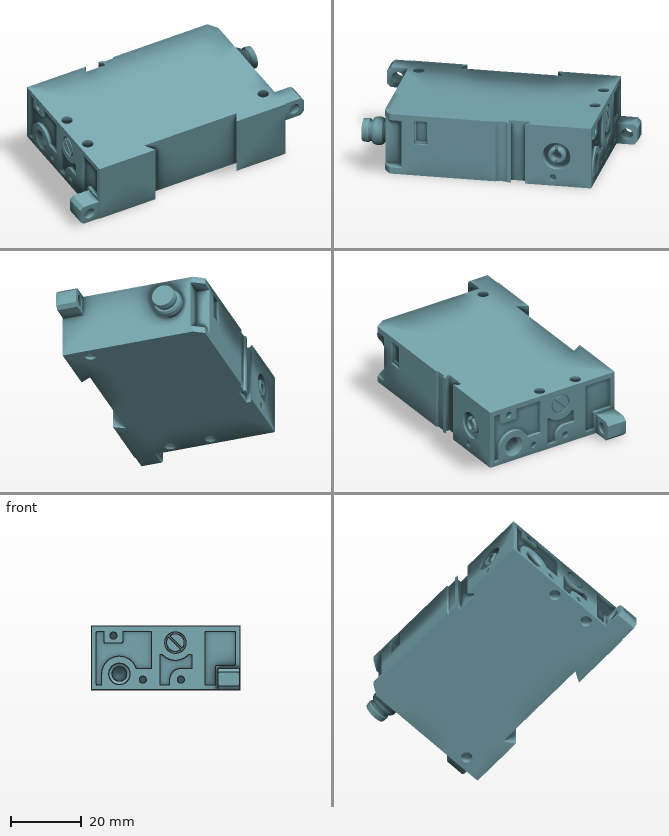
import cadquery as cq
import math

BODY_X = 42.0
BODY_Y = 60.0
BODY_Z = 18.0
REAR_CHAMFER_X = 3.0
REAR_CHAMFER_Y = 2.0

RAIL_DEPTH = 3.15
RAIL_MOUTH_Y0 = 18.05
RAIL_MOUTH_Y1 = 44.1
RAIL_UNDERCUT = 1.9

CLIP_DEPTH = 2.05
CLIP_Y0 = 18.0
CLIP_Y1 = 24.0
CLIP_LIP = 0.7
CLIP_LIP_FLAT = 0.3
GROOVE_DEPTH = 0.5
GROOVE_Y0 = 24.2
GROOVE_Y1 = 27.6
GROOVE_TAPER = 0.3

MOUNT_HOLE_D = 3.2
MOUNT_HOLES = [(18.35, 2.65), (30.4, 2.65), (34.8, 56.75)]

LUG_SIZE = 6.0
LUG_X = 35.75
LUG_CHAMFER = 1.0
LUG_HOLE_D = 3.4

CONNECTOR_X = 9.3
COLLAR_R = 3.0
FLANGE_D = 8.0
FLANGE_R = FLANGE_D / 2
FLANGE_EDGE_R = 3.6
PLUG_R = 3.3
PLUG_RIM_R = 3.45
PLUG_TIP_R = 3.2
PLUG_TIP_LENGTH = 0.45
CONNECTOR_LENGTH = 7.4
FLANGE_START = 1.4
FLANGE_END = 4.4
FLANGE_BEVEL = 0.7
RIM_START = 5.5
RIM_BEVEL = 0.45

RELIEF_DEPTH = 1.0
RELIEF_RADIUS = 0.4
RELIEF_Z0 = 1.3
RELIEF_Z1 = 16.45
RELIEF_STEP_Z = 6.0
BOSS_R = 5.0

PORT_X = 7.9
PORT_Z = 4.5
PORT_MOUTH_D = 6.0
PORT_BORE_D = 4.1
PORT_BORE_DEPTH = 3.7
DRILL_POINT_ANGLE = 118

SCREW_X = 23.7
SCREW_Z = 13.3
SCREW_BORE_D = 6.0
SCREW_HEAD_D = 5.0
SCREW_GROOVE_DEPTH = 0.4
SCREW_SLOT_WIDTH = 0.5
SCREW_SLOT_ANGLE = -45

PIN_HOLE_D = 2.0
PIN_HOLE_DEPTH = 4.0
LOW_PIN_X0 = 14.5
LOW_PIN_X1 = 25.25
LOW_PIN_Z = 2.85
HIGH_PIN_X = 6.25
HIGH_PIN_Z = 15.3

CORNER_POCKET_Y = 54.5
CORNER_POCKET_WALL = 1.8
CORNER_POCKET_DEPTH = 3.75

WINDOW_Y0 = 47.0
WINDOW_Y1 = 51.0
WINDOW_Z0 = 9.4
WINDOW_Z1 = 16.5
WINDOW_BORDER = 0.45
WINDOW_STEP = 0.8
WINDOW_RADIUS = 0.5

SOCKET_Y = 10.0
SOCKET_D = 8.0
SOCKET_DEPTH = 4.0
STUD_D = 5.0
STUD_TIP_D = 4.0
STUD_BORE_D = 3.0
STUD_SLOT_WIDTH = 0.95
STUD_SLOT_DEPTH = 1.5
SIDE_PIN_Y = 11.0
SIDE_PIN_Z = 2.4


def make_block():
    """Block outline with dovetail slot, clip slot and label groove, plus through holes."""
    lip_root = CLIP_LIP + CLIP_LIP_FLAT
    rail_x = BODY_X - RAIL_DEPTH
    outline = [
        (0, 0),
        (BODY_X, 0),
        (BODY_X, RAIL_MOUTH_Y0),
        (rail_x, RAIL_MOUTH_Y0 - RAIL_UNDERCUT),
        (rail_x, RAIL_MOUTH_Y1 + RAIL_UNDERCUT),
        (BODY_X, RAIL_MOUTH_Y1),
        (BODY_X, BODY_Y),
        (REAR_CHAMFER_X, BODY_Y),
        (0, BODY_Y - REAR_CHAMFER_Y),
        (0, GROOVE_Y1),
        (GROOVE_DEPTH, GROOVE_Y1 - GROOVE_TAPER),
        (GROOVE_DEPTH, GROOVE_Y0 + GROOVE_TAPER),
        (0, GROOVE_Y0),
        (0, CLIP_Y1 - lip_root),
        (CLIP_LIP, CLIP_Y1 - CLIP_LIP_FLAT),
        (CLIP_LIP, CLIP_Y1),
        (CLIP_DEPTH, CLIP_Y1),
        (CLIP_DEPTH, CLIP_Y0),
        (CLIP_LIP, CLIP_Y0),
        (CLIP_LIP, CLIP_Y0 + CLIP_LIP_FLAT),
        (0, CLIP_Y0 + lip_root),
    ]
    block = cq.Workplane("XY").polyline(outline).close().extrude(BODY_Z)
    holes = cq.Workplane("XY").pushPoints(MOUNT_HOLES).circle(MOUNT_HOLE_D / 2).extrude(BODY_Z)
    return block.cut(holes)


def make_lug(y0, z0, end_face):
    """Square lug with a cross hole and bevels on the two long edges of its free end."""
    lug = cq.Workplane("XY").box(LUG_SIZE, LUG_SIZE, LUG_SIZE, centered=False)
    lug = lug.faces(end_face).edges("|X").chamfer(LUG_CHAMFER)
    hole = (
        cq.Workplane("YZ").center(LUG_SIZE / 2, LUG_SIZE / 2).circle(LUG_HOLE_D / 2).extrude(LUG_SIZE)
    )
    return lug.cut(hole).translate((LUG_X, y0, z0))


def make_connector():
    """Turned connector standing on the rear face; its profile is (radius, distance from the face)."""
    profile = [
        (0, 0),
        (COLLAR_R, 0),
        (COLLAR_R, FLANGE_START),
        (FLANGE_EDGE_R, FLANGE_START),
        (FLANGE_R, FLANGE_START + FLANGE_BEVEL),
        (FLANGE_R, FLANGE_END - FLANGE_BEVEL),
        (FLANGE_EDGE_R, FLANGE_END),
        (COLLAR_R, FLANGE_END),
        (COLLAR_R, RIM_START),
        (PLUG_R, RIM_START),
        (PLUG_RIM_R, RIM_START + RIM_BEVEL),
        (PLUG_R, CONNECTOR_LENGTH - PLUG_TIP_LENGTH),
        (PLUG_TIP_R, CONNECTOR_LENGTH),
        (0, CONNECTOR_LENGTH),
    ]
    connector = cq.Workplane("XY").polyline(profile).close().revolve(360, (0, 0, 0), (0, 1, 0))
    return connector.translate((CONNECTOR_X, BODY_Y, BODY_Z / 2))


def round_corners(pocket, corners):
    """Round the depth-wise edges of a front pocket at the given (x, z) corners."""
    for x, z in corners:
        edge = cq.selectors.NearestToPointSelector((x, RELIEF_DEPTH / 2, z))
        pocket = pocket.edges("|Y").edges(edge).fillet(RELIEF_RADIUS)
    return pocket


def front_disc(x, z, diameter, depth):
    """Cylinder running inward from the front face."""
    return cq.Workplane("XZ").center(x, z).circle(diameter / 2).extrude(-depth)


def make_left_relief():
    """Relief around the port boss, notched at the top for the pin hole."""
    x0, x1 = 1.4, 17.0
    notch_x0, notch_x1 = 3.5, 8.9
    notch_z = 13.2
    boss_left = PORT_X - BOSS_R
    boss_right = PORT_X + math.sqrt(BOSS_R**2 - (RELIEF_STEP_Z - PORT_Z) ** 2)
    pocket = (
        cq.Workplane("XZ")
        .moveTo(x0, RELIEF_Z0)
        .lineTo(x0, RELIEF_Z1)
        .lineTo(notch_x0, RELIEF_Z1)
        .lineTo(notch_x0, notch_z)
        .lineTo(notch_x1, notch_z)
        .lineTo(notch_x1, RELIEF_Z1)
        .lineTo(x1, RELIEF_Z1)
        .lineTo(x1, RELIEF_STEP_Z)
        .lineTo(boss_right, RELIEF_STEP_Z)
        .threePointArc((PORT_X, PORT_Z + BOSS_R), (boss_left, PORT_Z))
        .lineTo(boss_left, RELIEF_Z0)
        .close()
        .extrude(-RELIEF_DEPTH)
    )
    rounded = [
        (x0, RELIEF_Z0),
        (boss_left, RELIEF_Z0),
        (x0, RELIEF_Z1),
        (notch_x0, notch_z),
        (notch_x1, notch_z),
        (x1, RELIEF_Z1),
    ]
    return round_corners(pocket, rounded)


def make_middle_relief():
    """Relief below the screw, curved around the screw boss and the lower pin hole."""
    x0, x1 = 19.3, 28.4
    top_z = 9.9
    pin_boss_r = RELIEF_STEP_Z - LOW_PIN_Z
    pin_left = LOW_PIN_X1 - pin_boss_r
    diagonal = pin_boss_r * math.sqrt(0.5)
    arc_half = math.sqrt(BOSS_R**2 - (SCREW_Z - top_z) ** 2)
    pocket = (
        cq.Workplane("XZ")
        .moveTo(x0, RELIEF_Z0)
        .lineTo(x0, top_z)
        .lineTo(SCREW_X - arc_half, top_z)
        .threePointArc((SCREW_X, SCREW_Z - BOSS_R), (SCREW_X + arc_half, top_z))
        .lineTo(x1, top_z)
        .lineTo(x1, RELIEF_STEP_Z)
        .lineTo(LOW_PIN_X1, RELIEF_STEP_Z)
        .threePointArc((LOW_PIN_X1 - diagonal, LOW_PIN_Z + diagonal), (pin_left, LOW_PIN_Z))
        .lineTo(pin_left, RELIEF_Z0)
        .close()
        .extrude(-RELIEF_DEPTH)
    )
    return round_corners(pocket, [(x0, RELIEF_Z0), (pin_left, RELIEF_Z0), (x1, top_z)])


def make_right_relief():
    """L-shaped relief that clears the front lug."""
    x0, x1 = 32.1, 40.7
    step_x, step_z = 35.1, 6.9
    outline = [
        (x0, RELIEF_Z0),
        (x0, RELIEF_Z1),
        (x1, RELIEF_Z1),
        (x1, step_z),
        (step_x, step_z),
        (step_x, RELIEF_Z0),
    ]
    pocket = cq.Workplane("XZ").polyline(outline).close().extrude(-RELIEF_DEPTH)
    return round_corners(pocket, outline)


def make_port():
    """Countersunk blind bore with a drill point; its profile is (radius, depth)."""
    mouth_r = PORT_MOUTH_D / 2
    bore_r = PORT_BORE_D / 2
    point_length = bore_r / math.tan(math.radians(DRILL_POINT_ANGLE / 2))
    profile = [
        (0, 0),
        (mouth_r, 0),
        (bore_r, mouth_r - bore_r),
        (bore_r, PORT_BORE_DEPTH),
        (0, PORT_BORE_DEPTH + point_length),
    ]
    port = cq.Workplane("XY").polyline(profile).close().revolve(360, (0, 0, 0), (0, 1, 0))
    return port.translate((PORT_X, 0, PORT_Z))


def make_screw_cut():
    """Ring groove around a flush screw head, with a diagonal driver slot."""
    ring = front_disc(SCREW_X, SCREW_Z, SCREW_BORE_D, SCREW_GROOVE_DEPTH)
    ring = ring.cut(front_disc(SCREW_X, SCREW_Z, SCREW_HEAD_D, SCREW_GROOVE_DEPTH))
    slot = (
        cq.Workplane("XZ")
        .center(SCREW_X, SCREW_Z)
        .transformed(rotate=(0, 0, SCREW_SLOT_ANGLE))
        .rect(SCREW_HEAD_D, SCREW_SLOT_WIDTH)
        .extrude(-SCREW_GROOVE_DEPTH)
    )
    return ring.union(slot)


def make_corner_pocket():
    """Pocket across the chamfered rear corner, reaching past the chamfer."""
    return cq.Workplane("XY").box(
        CORNER_POCKET_DEPTH,
        BODY_Y - CORNER_POCKET_Y,
        BODY_Z - 2 * CORNER_POCKET_WALL,
        centered=False,
    ).translate((0, CORNER_POCKET_Y, CORNER_POCKET_WALL))


def make_window():
    """Two-step rectangular window; the outer step keeps square lower corners."""
    width = WINDOW_Y1 - WINDOW_Y0
    height = WINDOW_Z1 - WINDOW_Z0
    centre = cq.Workplane("YZ").center((WINDOW_Y0 + WINDOW_Y1) / 2, (WINDOW_Z0 + WINDOW_Z1) / 2)
    outer = centre.rect(width, height).extrude(WINDOW_STEP)
    outer = outer.faces(">Z").edges("|X").fillet(WINDOW_RADIUS)
    inner = centre.rect(width - 2 * WINDOW_BORDER, height - 2 * WINDOW_BORDER).extrude(2 * WINDOW_STEP)
    inner = inner.edges("|X").fillet(WINDOW_RADIUS)
    return outer.union(inner)


def make_socket():
    """Round recess that leaves a bevelled, bored and slotted stud at its centre."""
    centre = cq.Workplane("YZ").center(SOCKET_Y, BODY_Z / 2)
    recess = centre.circle(SOCKET_D / 2).extrude(SOCKET_DEPTH)
    stud = centre.circle(STUD_D / 2).extrude(SOCKET_DEPTH)
    stud = stud.faces("<X").chamfer((STUD_D - STUD_TIP_D) / 2)
    slot = centre.rect(STUD_SLOT_WIDTH, STUD_D).extrude(STUD_SLOT_DEPTH)
    bore = centre.circle(STUD_BORE_D / 2).extrude(SOCKET_DEPTH)
    return recess.cut(stud).union(slot).union(bore)


result = make_block()
result = result.union(make_lug(-LUG_SIZE, 0, "<Y"))
result = result.union(make_lug(BODY_Y, BODY_Z - LUG_SIZE, ">Y"))
result = result.union(make_connector())

for relief in (make_left_relief(), make_middle_relief(), make_right_relief()):
    result = result.cut(relief)
result = result.cut(make_port())
result = result.cut(make_screw_cut())
for pin_x, pin_z in [(LOW_PIN_X0, LOW_PIN_Z), (LOW_PIN_X1, LOW_PIN_Z), (HIGH_PIN_X, HIGH_PIN_Z)]:
    result = result.cut(front_disc(pin_x, pin_z, PIN_HOLE_D, PIN_HOLE_DEPTH))

result = result.cut(make_corner_pocket())
result = result.cut(make_window())
result = result.cut(make_socket())
side_pin = cq.Workplane("YZ").center(SIDE_PIN_Y, SIDE_PIN_Z).circle(PIN_HOLE_D / 2)
result = result.cut(side_pin.extrude(PIN_HOLE_DEPTH))